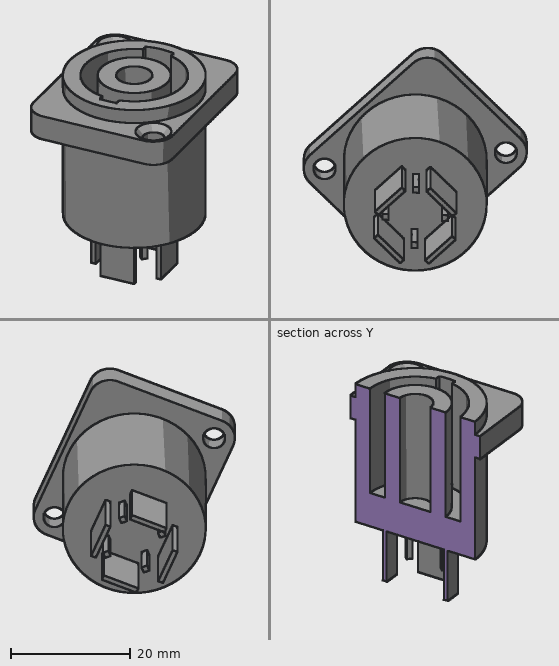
import cadquery as cq

total_height = 36.1
body_bottom = 9.6
flange_bottom = 29.17
flange_top = 33.6

body_diameter = 24.0
flange_width = 26.0
flange_length = 31.0
flange_corner_radius = 3.55

mount_offset_x = 9.5
mount_offset_y = 12.0
mount_hole_diameter = 3.7
countersink_diameter = 6.03
countersink_angle = 90

socket_depth = 20.0
socket_diameter = 18.05
post_diameter = 12.27
post_bore_diameter = 6.05

keyway_diameter = 20.0
wide_keyway = 5.25
narrow_keyway = 3.18

terminal_width = 6.28
terminal_thickness = 0.85
terminal_outer_face = 6.55

pin_bottom = 3.7
pin_size = 1.0
pin_outer_face = 5.5


def cylinder(diameter, bottom, top):
    return cq.Workplane("XY").workplane(offset=bottom).circle(diameter / 2).extrude(top - bottom)


def contact(outer_face, thickness, width, bottom, angle):
    """Upright contact below the body, turned about the Z axis."""
    return (
        cq.Workplane("XY")
        .workplane(offset=bottom)
        .center(outer_face - thickness / 2, 0)
        .rect(thickness, width)
        .extrude(body_bottom - bottom)
        .rotate((0, 0, 0), (0, 0, 1), angle)
    )


def make_flange():
    flange = (
        cq.Workplane("XY")
        .workplane(offset=flange_bottom)
        .rect(flange_width, flange_length)
        .extrude(flange_top - flange_bottom)
        .edges("|Z")
        .fillet(flange_corner_radius)
    )
    return (
        flange.faces(">Z")
        .workplane(origin=(0, 0, flange_top))
        .pushPoints([(-mount_offset_x, mount_offset_y), (mount_offset_x, -mount_offset_y)])
        .cskHole(mount_hole_diameter, countersink_diameter, countersink_angle)
    )


def make_socket():
    """Volume removed from the body around and inside the centre post."""
    floor = total_height - socket_depth
    keyways = cq.Workplane("XY")
    for side, width in ((1, wide_keyway), (-1, narrow_keyway)):
        slot = (
            cq.Workplane("XY")
            .workplane(offset=floor)
            .center(0, side * keyway_diameter / 4)
            .rect(width, keyway_diameter / 2)
            .extrude(socket_depth)
        )
        keyways = keyways.add(slot)
    keyways = keyways.combine().intersect(cylinder(keyway_diameter, floor, total_height))
    socket = cylinder(socket_diameter, floor, total_height).union(keyways)
    socket = socket.cut(cylinder(post_diameter, floor, total_height))
    return socket.union(cylinder(post_bore_diameter, floor, total_height))


result = cylinder(body_diameter, body_bottom, total_height).union(make_flange()).cut(make_socket())

for quarter in range(4):
    side_angle = 90 * quarter
    terminal = contact(terminal_outer_face, terminal_thickness, terminal_width, 0, side_angle)
    pin = contact(pin_outer_face, pin_size, pin_size, pin_bottom, side_angle + 45)
    result = result.union(terminal).union(pin)